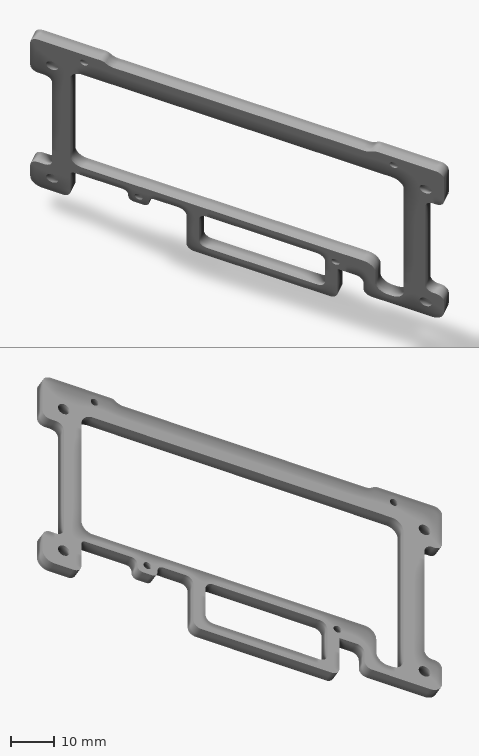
import cadquery as cq
import math

WIDTH = 103.0
HEIGHT = 62.0
THICKNESS = 3.0

SMALL_RADIUS = 1.0
TAB_RADIUS = 1.5
RADIUS = 2.0
LARGE_RADIUS = 3.0

LEFT_EAR_OVERHANG = 5.45
RIGHT_EAR_OVERHANG = 4.55
UPPER_EAR_BOTTOM = 49.2
LOWER_EAR_TOP = 14.5
EAR_BOTTOM = 5.1
LEFT_FOOT_RIGHT = 10.0
RIGHT_FOOT_LEFT = 83.0

RECESS_DEPTH = 1.25
RECESS_RAMP_ANGLE = 40.0
RECESS_RAMP_START = 18.2

WINDOW_LEFT = 10.0
WINDOW_RIGHT = 93.0
WINDOW_TOP = 54.1
WINDOW_BOTTOM = 18.0
SLOT_LEFT = 86.0
SLOT_BOTTOM = 8.1

RAIL_BOTTOM = 15.0
TAB_BOTTOM = 11.5
TAB_WIDTH = 5.2
LOOP_LEFT = 38.9
LOOP_RIGHT = 76.5
LOOP_WALL = 3.1
LOOP_FLOOR = 2.9

MOUNT_HOLE_DIAMETER = 3.0
MOUNT_HOLE_LEVELS = (10.0, 53.7)
PILOT_HOLE_DIAMETER = 2.0
TOP_PILOT_OFFSET = 38.55
TOP_PILOT_LEVEL = 59.0
TAB_PILOT_X = 27.0
LOOP_PILOT_X = 76.0
LOWER_PILOT_LEVEL = 14.0

NECK_LEFT = LEFT_EAR_OVERHANG
NECK_RIGHT = WIDTH - RIGHT_EAR_OVERHANG
FRAME_CENTER = (NECK_LEFT + NECK_RIGHT) / 2


def rounded_prism(corners):
    """Extrude a closed outline of (x, z, corner radius) through the thickness."""
    arcs = []
    for i, (x, z, radius) in enumerate(corners):
        corner = cq.Vector(x, z)
        before = (cq.Vector(*corners[i - 1][:2]) - corner).normalized()
        after = (cq.Vector(*corners[(i + 1) % len(corners)][:2]) - corner).normalized()
        half_angle = before.getAngle(after) / 2
        setback = radius / math.tan(half_angle)
        bisector = (before + after).normalized()
        middle = corner + bisector * (radius / math.sin(half_angle) - radius)
        arcs.append((corner + before * setback, middle, corner + after * setback, radius))

    outline = cq.Workplane("XZ").moveTo(*arcs[0][2].toTuple()[:2])
    for start, middle, end, radius in arcs[1:] + arcs[:1]:
        outline = outline.lineTo(start.x, start.y)
        if radius > 0:
            outline = outline.threePointArc((middle.x, middle.y), (end.x, end.y))
    return outline.close().extrude(-THICKNESS)


def plate():
    """Solid outer silhouette, listed clockwise from the top left corner."""
    recess_z = HEIGHT - RECESS_DEPTH
    ramp_start_offset = FRAME_CENTER - RECESS_RAMP_START
    ramp_run = RECESS_DEPTH / math.tan(math.radians(RECESS_RAMP_ANGLE))
    ramp_end_offset = ramp_start_offset - ramp_run
    tab_left = TAB_PILOT_X - TAB_WIDTH / 2
    tab_right = TAB_PILOT_X + TAB_WIDTH / 2
    return rounded_prism([
        (0, HEIGHT, RADIUS),
        (FRAME_CENTER - ramp_start_offset, HEIGHT, RADIUS),
        (FRAME_CENTER - ramp_end_offset, recess_z, LARGE_RADIUS),
        (FRAME_CENTER + ramp_end_offset, recess_z, LARGE_RADIUS),
        (FRAME_CENTER + ramp_start_offset, HEIGHT, RADIUS),
        (WIDTH, HEIGHT, RADIUS),
        (WIDTH, UPPER_EAR_BOTTOM, RADIUS),
        (NECK_RIGHT, UPPER_EAR_BOTTOM, RADIUS),
        (NECK_RIGHT, LOWER_EAR_TOP, RADIUS),
        (WIDTH, LOWER_EAR_TOP, RADIUS),
        (WIDTH, EAR_BOTTOM, LARGE_RADIUS),
        (RIGHT_FOOT_LEFT, EAR_BOTTOM, RADIUS),
        (RIGHT_FOOT_LEFT, TAB_BOTTOM, RADIUS),
        (LOOP_RIGHT, TAB_BOTTOM, 0),
        (LOOP_RIGHT, 0, RADIUS),
        (LOOP_LEFT, 0, RADIUS),
        (LOOP_LEFT, RAIL_BOTTOM, RADIUS),
        (tab_right, RAIL_BOTTOM, TAB_RADIUS),
        (tab_right, TAB_BOTTOM, TAB_RADIUS),
        (tab_left, TAB_BOTTOM, TAB_RADIUS),
        (tab_left, RAIL_BOTTOM, TAB_RADIUS),
        (LEFT_FOOT_RIGHT, RAIL_BOTTOM, SMALL_RADIUS),
        (LEFT_FOOT_RIGHT, EAR_BOTTOM, RADIUS),
        (0, EAR_BOTTOM, LARGE_RADIUS),
        (0, LOWER_EAR_TOP, RADIUS),
        (NECK_LEFT, LOWER_EAR_TOP, RADIUS),
        (NECK_LEFT, UPPER_EAR_BOTTOM, RADIUS),
        (0, UPPER_EAR_BOTTOM, RADIUS),
    ])


def main_window():
    """Large opening with the slot dropping from its lower right corner."""
    return rounded_prism([
        (WINDOW_LEFT, WINDOW_TOP, LARGE_RADIUS),
        (WINDOW_RIGHT, WINDOW_TOP, LARGE_RADIUS),
        (WINDOW_RIGHT, SLOT_BOTTOM, LARGE_RADIUS),
        (SLOT_LEFT, SLOT_BOTTOM, LARGE_RADIUS),
        (SLOT_LEFT, WINDOW_BOTTOM, LARGE_RADIUS),
        (WINDOW_LEFT, WINDOW_BOTTOM, LARGE_RADIUS),
    ])


def loop_window():
    """Opening inside the hanging loop, level with the underside of the rail."""
    left = LOOP_LEFT + LOOP_WALL
    right = LOOP_RIGHT - LOOP_WALL
    return rounded_prism([
        (left, RAIL_BOTTOM, RADIUS),
        (right, RAIL_BOTTOM, RADIUS),
        (right, LOOP_FLOOR, RADIUS),
        (left, LOOP_FLOOR, RADIUS),
    ])


def through_holes(centers, diameter):
    """Cutters along Y for holes at the given (x, z) centers."""
    return cq.Workplane("XZ").pushPoints(centers).circle(diameter / 2).extrude(-THICKNESS)


mount_centers = [
    (x, z)
    for x in (NECK_LEFT, NECK_RIGHT)
    for z in MOUNT_HOLE_LEVELS
]
pilot_centers = [
    (FRAME_CENTER - TOP_PILOT_OFFSET, TOP_PILOT_LEVEL),
    (FRAME_CENTER + TOP_PILOT_OFFSET, TOP_PILOT_LEVEL),
    (TAB_PILOT_X, LOWER_PILOT_LEVEL),
    (LOOP_PILOT_X, LOWER_PILOT_LEVEL),
]

result = (
    plate()
    .cut(main_window())
    .cut(loop_window())
    .cut(through_holes(mount_centers, MOUNT_HOLE_DIAMETER))
    .cut(through_holes(pilot_centers, PILOT_HOLE_DIAMETER))
)